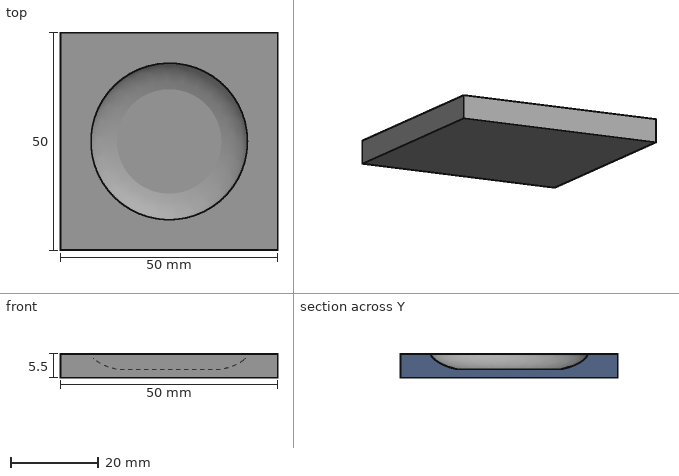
import cadquery as cq

plate_side = 50.0
plate_thickness = 5.5

rim_radius = 18.0
floor_radius = 12.0
dish_depth = 3.5
floor_z = plate_thickness - dish_depth

floor_control_outward = 3.0
floor_control_rise = 0.6
rim_control_inward = 0.2
rim_control_drop = 1.3


def make_plate():
    """Square plate centred on the Z axis, resting on Z = 0."""
    return cq.Workplane("XY").box(
        plate_side, plate_side, plate_thickness, centered=(True, True, False)
    )


def make_dish():
    """Solid of revolution about the Z axis that fills the dish."""
    wall_curve = [
        (floor_radius, floor_z),
        (floor_radius + floor_control_outward, floor_z + floor_control_rise),
        (rim_radius - rim_control_inward, plate_thickness - rim_control_drop),
        (rim_radius, plate_thickness),
    ]
    return (
        cq.Workplane("XZ")
        .moveTo(0, floor_z)
        .lineTo(floor_radius, floor_z)
        .bezier(wall_curve)
        .lineTo(0, plate_thickness)
        .close()
        .revolve(360, (0, 0, 0), (0, 1, 0))
    )


result = make_plate().cut(make_dish())